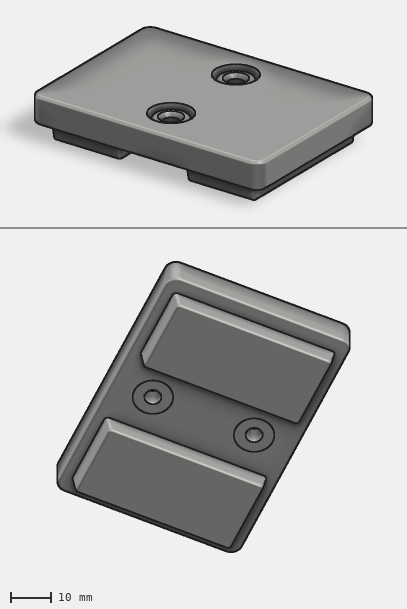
import cadquery as cq

plate_length = 70.0
plate_width = 50.0
plate_height = 8.05
plate_corner_radius = 3.0
edge_radius = 1.0

foot_length = 20.8
foot_height = 5.0
foot_root_width = 43.95
foot_tip_width = 42.0
foot_spacing = 40.95

bushing_spacing = 27.5
bushing_diameter = 10.0
bushing_top_drop = 1.0
bore_diameter = 4.2
countersink_diameter = 6.6
counterbore_diameter = 12.0
counterbore_depth = 3.0

bushing_height = plate_height - bushing_top_drop
bushing_places = [(0, -bushing_spacing / 2), (0, bushing_spacing / 2)]


def make_foot(center_x):
    """Foot with sloping ends in Y and rounded corners and bottom edges."""
    half_root = foot_root_width / 2
    half_tip = foot_tip_width / 2
    outline = [
        (-half_root, 0),
        (half_root, 0),
        (half_tip, -foot_height),
        (-half_tip, -foot_height),
    ]
    foot = cq.Workplane("YZ").polyline(outline).close().extrude(foot_length / 2, both=True)
    foot = foot.edges("not >Z").fillet(edge_radius)
    return foot.translate((center_x, 0, 0))


def make_plate():
    """Rounded plate with its feet and the stepped holes for the bushings."""
    plate = (
        cq.Workplane("XY")
        .box(plate_length, plate_width, plate_height, centered=(True, True, False))
        .edges("|Z")
        .fillet(plate_corner_radius)
        .faces("<Z or >Z")
        .edges()
        .fillet(edge_radius)
    )
    for side in (-1, 1):
        plate = plate.union(make_foot(side * foot_spacing / 2))
    return (
        plate.faces(">Z")
        .workplane(origin=(0, 0, plate_height))
        .pushPoints(bushing_places)
        .cboreHole(bushing_diameter, counterbore_diameter, counterbore_depth)
    )


def make_bushing(place):
    """Bushing flush with the plate underside, rounded on top and countersunk."""
    x, y = place
    bushing = (
        cq.Workplane("XY")
        .circle(bushing_diameter / 2)
        .extrude(bushing_height)
        .faces(">Z")
        .edges()
        .fillet(edge_radius)
        .faces(">Z")
        .workplane()
        .cskHole(bore_diameter, countersink_diameter, 90)
    )
    return bushing.translate((x, y, 0))


plate = make_plate()
bushings = [make_bushing(place) for place in bushing_places]

result = cq.Compound.makeCompound([plate.val(), *[bushing.val() for bushing in bushings]])